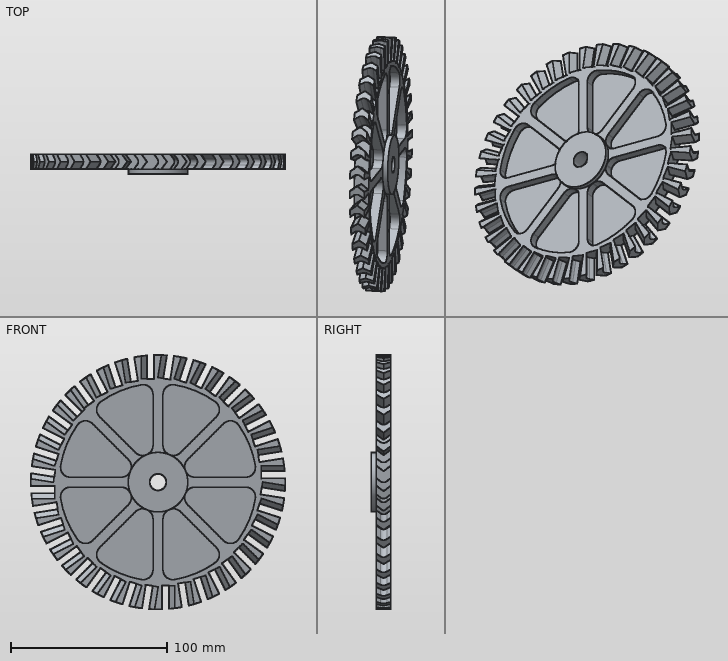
import cadquery as cq
import math

outer_radius = 81.4
disc_thickness = 9.5

hub_radius = 19.0
hub_height = 3.3
bore_radius = 5.2

spoke_count = 8
spoke_width = 6.3
pocket_outer_radius = 63.2
pocket_depth = 6.3
pocket_corner_radius = 6.3

tooth_count = 40
slot_root = 66.1
slot_width = 8.0
slot_front_edge = -10.6
slot_lean = 3.6
slot_apex_radius = 3.3
slot_overshoot = 1.6


def axial_cylinder(radius, y_start, y_end):
    """Cylinder on the wheel axis between two Y positions."""
    return cq.Workplane("XZ", origin=(0, y_start, 0)).circle(radius).extrude(y_start - y_end)


def ring_of(cutter, count):
    """Copies of a cutter spaced evenly round the wheel axis."""
    copies = [cutter.rotate((0, 0, 0), (0, 1, 0), i * 360 / count).val() for i in range(count)]
    return cq.Compound.makeCompound(copies)


def make_pocket():
    """Rounded sector between the spoke along +Z and the next spoke clockwise."""
    half_width = spoke_width / 2
    spoke_angle = 2 * math.pi / spoke_count

    def wall_points(radius):
        """Points on the first wall, mid-sector and second wall at one radius."""
        offset = math.asin(half_width / radius)
        angles = (offset, spoke_angle / 2, spoke_angle - offset)
        return [(radius * math.sin(a), radius * math.cos(a)) for a in angles]

    inner_start, inner_mid, inner_end = wall_points(hub_radius)
    outer_start, outer_mid, outer_end = wall_points(pocket_outer_radius)
    return (
        cq.Workplane("XZ")
        .moveTo(*inner_start)
        .lineTo(*outer_start)
        .threePointArc(outer_mid, outer_end)
        .lineTo(*inner_end)
        .threePointArc(inner_mid, inner_start)
        .close()
        .extrude(-pocket_depth)
        .edges("|Y")
        .fillet(pocket_corner_radius)
    )


def make_tooth_slot():
    """Chevron slot at the top of the wheel, cut radially outward from its flat floor."""
    left = slot_front_edge
    right = left + slot_width
    middle = disc_thickness / 2
    slot = (
        cq.Workplane("XY", origin=(0, 0, slot_root))
        .polyline([
            (left, 0),
            (right, 0),
            (right + slot_lean, middle),
            (right, disc_thickness),
            (left, disc_thickness),
            (left + slot_lean, middle),
        ])
        .close()
        .extrude(outer_radius + slot_overshoot - slot_root)
    )
    return slot.edges("|Z and >X").fillet(slot_apex_radius)


disc = axial_cylinder(outer_radius, 0, disc_thickness)
disc = disc.cut(ring_of(make_pocket(), spoke_count))
disc = disc.cut(ring_of(make_tooth_slot(), tooth_count))

hub = axial_cylinder(hub_radius, -hub_height, disc_thickness)
bore = axial_cylinder(bore_radius, -hub_height, disc_thickness)
result = disc.union(hub).cut(bore)